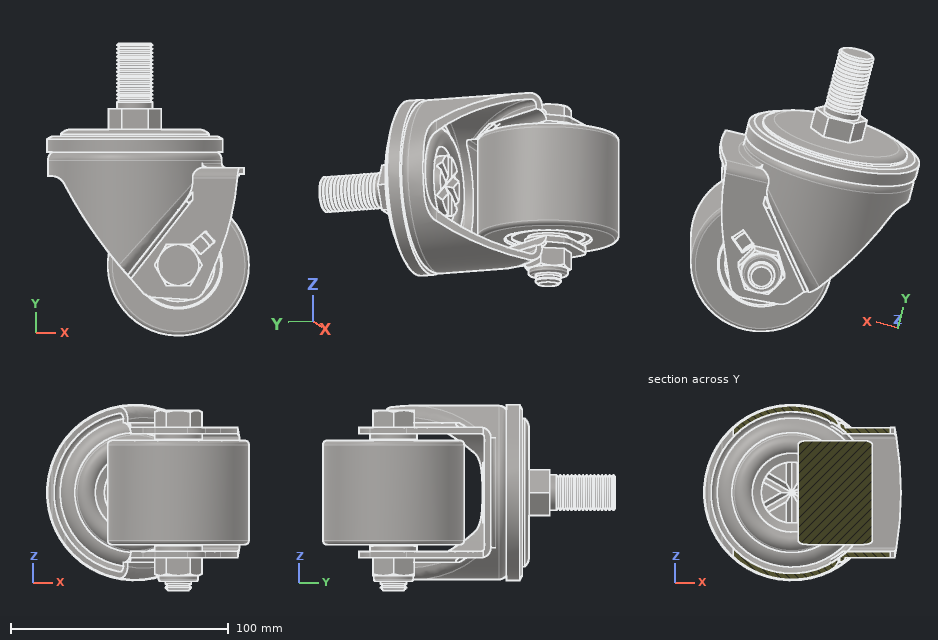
import cadquery as cq
import math


total_length = 134.4
wheel_radius = 32.5
wheel_width = 48.0
axle_x = 20.0
stem_top = total_length - wheel_radius

rim_radius = 40.5
rim_bottom = 51.9
rim_top = 57.9
rim_bevel_width = 2.4
rim_bevel_height = 1.3
cap_radius = 34.1
cap_edge_top = 60.2
cap_top = 62.3
cap_flat_radius = 29.5
stem_hex_top = 71.9
stem_hex_flats = 21.1
stem_radius = 8.2
stem_thread_start = 74.7
stem_pitch = 1.7
stem_tip_chamfer = 0.8
pin_radius = 14.0
pin_end = 41.0
pin_groove_depth = 2.4
pin_groove_count = 3

sheet = 3.0
tube_radius = 40.0
shoulder_width = 1.9
shoulder_height = 3.6
inner_shoulder = 2.8
leg_half_width = 30.0
tongue_top = 44.7
tongue_tip_x = 50.2
leg_back = 47.3
notch_y = 40.8

notch_corner = (-38.2, notch_y)
notch_round_middle = (-34.7, 39.8)
front_edge_top = (-32.2, 37.0)
front_edge_middle = (-18.8, 14.9)
front_edge_bottom = (-2.1, -5.9)
toe_front = (3.8, -12.8)
toe_round_middle = (6.2, -14.4)
toe_bottom = (9.1, -14.9)
heel_bottom = (24.2, -15.9)
heel_round_middle = (29.3, -14.8)
heel_back = (32.4, -11.0)
back_edge_bottom = (39.2, 5.8)
back_edge_middle = (44.7, 23.8)

tongue_bend_radius = 4.7
tongue_root_fillet = 2.0
tongue_edge = 3.6
crease_angle = 52.0
crease_x = 0.4
crease_end_x = 25.9
crease_fillet = 2.1
crease_round = 5.4

bead_inner_radius = 18.1
bead_inner_y = 43.9
bead_lead_in = 1.3
bead_crest_radius = 22.6
bead_crest_y = 41.6
bead_outer_radius = 26.6
bead_step_width = 1.0
bead_step_height = 1.1
bead_flank_radius = 31.6
bead_flank_y = 46.1
bead_root_radius = 34.3

slot_start = 10.9
slot_end = 19.6
slot_width = 6.5
slot_angle = 42.0

tread_rounding = 2.0
recess_radius = 20.2
recess_depth = 0.7
recess_draft = 0.7
web_radius = 16.8
web_depth = 1.1
hub_radius = 10.9
hub_neck_radius = 9.4
hub_flange = 2.5

axle_radius = 6.0
axle_end = -45.0
axle_pitch = 1.7
axle_tip_chamfer = 1.3
axle_hex_flats = 19.0
head_height = 7.8
nut_height = 8.2
hex_chamfer = 0.8
collar_radius = 9.1
collar_height = 2.7
collar_rounding = 1.1

hex_corner = 2 / math.sqrt(3)
thread_depth_ratio = 0.6


def turned_about_y(profile):
    """Solid of revolution about Y from a closed (radius, Y) profile."""
    return profile.close().revolve(360, (0, 0, 0), (0, 1, 0))


def threaded_rod(radius, length, thread_length, pitch, tip_chamfer):
    """Rod along +Z from the origin, with V-shaped thread ridges up to its chamfered tip."""
    depth = thread_depth_ratio * pitch
    ridges = math.floor((thread_length - tip_chamfer) / pitch)
    start = length - tip_chamfer - ridges * pitch
    profile = cq.Workplane("XZ").lineTo(radius, 0).lineTo(radius, start)
    for i in range(ridges):
        profile = profile.lineTo(radius - depth, start + (i + 0.5) * pitch)
        profile = profile.lineTo(radius, start + (i + 1) * pitch)
    profile = profile.lineTo(radius - tip_chamfer, length).lineTo(0, length)
    return profile.close().revolve(360, (0, 0, 0), (0, 1, 0))


def chamfered_hexagon(flats, height):
    """Hexagonal prism along +Z, corners on X, with its top corners turned off."""
    prism = cq.Workplane("XY").polygon(6, flats * hex_corner).extrude(height)
    turning = cq.Workplane("XY").circle(flats * hex_corner / 2).extrude(height)
    turning = turning.faces(">Z").chamfer(hex_chamfer, (hex_corner - 1) * flats / 2)
    return prism.intersect(turning)


def make_head():
    cap_round_width = cap_radius - cap_flat_radius
    cap_round_drop = cap_top - cap_edge_top
    cap_round = (cap_round_width**2 + cap_round_drop**2) / (2 * cap_round_drop)
    plate = turned_about_y(
        cq.Workplane("XY")
        .moveTo(0, pin_end)
        .lineTo(pin_radius, pin_end)
        .lineTo(pin_radius, rim_bottom)
        .lineTo(rim_radius, rim_bottom)
        .lineTo(rim_radius, rim_top)
        .lineTo(rim_radius - rim_bevel_width, rim_top + rim_bevel_height)
        .lineTo(cap_radius, rim_top + rim_bevel_height)
        .lineTo(cap_radius, cap_edge_top)
        .radiusArc((cap_flat_radius, cap_top), -cap_round)
        .lineTo(0, cap_top)
    )
    hexagon = (
        cq.Workplane("XZ", origin=(0, cap_top, 0))
        .polygon(6, stem_hex_flats * hex_corner)
        .extrude(cap_top - stem_hex_top)
    )
    stem = threaded_rod(
        stem_radius, stem_top - cap_top, stem_top - stem_thread_start, stem_pitch, stem_tip_chamfer
    )
    stem = stem.rotate((0, 0, 0), (1, 0, 0), -90).translate((0, cap_top, 0))
    head = plate.union(hexagon).union(stem)

    groove = (
        cq.Workplane("XY")
        .moveTo(-pin_groove_depth, pin_end)
        .lineTo(0, pin_end + pin_groove_depth)
        .lineTo(pin_groove_depth, pin_end)
        .close()
        .extrude(pin_radius, both=True)
    )
    for i in range(pin_groove_count):
        head = head.cut(groove.rotate((0, 0, 0), (0, 1, 0), i * 180 / pin_groove_count))
    return head


def along_crease(solid):
    """Place a solid whose X runs along the crease and whose +Y points forward of it."""
    return solid.rotate((0, 0, 0), (0, 0, 1), crease_angle).translate((crease_x, 0, 0))


def ahead_of_crease(offset):
    """Region further than offset in front of the crease."""
    reach = 2 * total_length
    block = cq.Workplane("XY").box(reach, reach, reach)
    return along_crease(block.translate((0, reach / 2 + offset, 0)))


def crease_fill(offset, half_width, radius):
    """Concave rounding between the crease wall and both legs."""
    fill = (
        cq.Workplane("YZ")
        .moveTo(offset, half_width)
        .lineTo(offset, half_width + radius)
        .radiusArc((offset - radius, half_width), -radius)
        .close()
        .extrude(total_length)
        .translate((-total_length / 2, 0, 0))
    )
    return along_crease(fill.union(fill.mirror("XY")))


def fork_envelope(inset, shoulder_run, shoulder_drop):
    """Outer volume of the fork, or its inner volume when inset by the sheet thickness."""
    radius = tube_radius - inset
    half_width = leg_half_width - inset
    top = rim_bottom - inset
    ceiling = tongue_top - inset
    floor = -wheel_radius
    height = ceiling - floor
    tangent_radius = (shoulder_run**2 + shoulder_drop**2) / (2 * shoulder_run)
    crown = turned_about_y(
        cq.Workplane("XY")
        .moveTo(0, ceiling)
        .lineTo(radius, ceiling)
        .lineTo(radius, top - shoulder_drop)
        .radiusArc((radius - shoulder_run, top), -tangent_radius)
        .lineTo(0, top)
    )
    tube = cq.Workplane("XZ", origin=(0, ceiling, 0)).circle(radius).extrude(height)
    wrap = tube.intersect(ahead_of_crease(inset)).edges("%ELLIPSE").fillet(crease_round - inset)
    channel = (
        cq.Workplane("XY")
        .box(2 * total_length, height, 2 * half_width)
        .translate((0, floor + height / 2, 0))
        .edges("|X and >Y")
        .fillet(tongue_bend_radius - inset)
    )
    rear = cq.Workplane("XY").box(total_length, total_length, total_length)
    rear = rear.translate((crease_end_x + total_length / 2, 0, 0))
    behind = channel.cut(ahead_of_crease(crease_round)).union(channel.intersect(rear))
    fill = crease_fill(inset, half_width, crease_fillet + inset).intersect(tube)
    return crown.union(wrap).union(behind).union(fill)


def leg_outline():
    """Side outline common to both legs and the tube, cut straight through along Z."""
    return (
        cq.Workplane("XY")
        .moveTo(-tube_radius, rim_bottom)
        .lineTo(-tube_radius, notch_y)
        .lineTo(*notch_corner)
        .threePointArc(notch_round_middle, front_edge_top)
        .threePointArc(front_edge_middle, front_edge_bottom)
        .lineTo(*toe_front)
        .threePointArc(toe_round_middle, toe_bottom)
        .lineTo(*heel_bottom)
        .threePointArc(heel_round_middle, heel_back)
        .lineTo(*back_edge_bottom)
        .threePointArc(back_edge_middle, (leg_back, tongue_top - tongue_edge))
        .lineTo(tongue_tip_x, tongue_top - tongue_edge)
        .lineTo(tongue_tip_x, rim_bottom)
        .close()
        .extrude(2 * tube_radius, both=True)
    )


def tongue_plan():
    """Plan outline of the fork, with the rounded rear end of the tongue."""
    return (
        cq.Workplane("XZ", origin=(0, rim_bottom, 0))
        .moveTo(-tube_radius, -tube_radius)
        .lineTo(leg_back, -tube_radius)
        .lineTo(leg_back, -leg_half_width)
        .threePointArc((tongue_tip_x, 0), (leg_back, leg_half_width))
        .lineTo(leg_back, tube_radius)
        .lineTo(-tube_radius, tube_radius)
        .close()
        .extrude(rim_bottom + wheel_radius)
    )


def race_bead():
    """Ring bead pressed down from the crown, holding the ball race."""
    crown_middle = rim_bottom - sheet / 2
    return turned_about_y(
        cq.Workplane("XY")
        .moveTo(pin_radius, crown_middle)
        .lineTo(pin_radius, bead_inner_y + bead_lead_in)
        .lineTo(bead_inner_radius, bead_inner_y)
        .threePointArc((bead_crest_radius, bead_crest_y), (bead_outer_radius, bead_inner_y))
        .lineTo(bead_outer_radius + bead_step_width, bead_inner_y + bead_step_height)
        .threePointArc((bead_flank_radius, bead_flank_y), (bead_root_radius, rim_bottom - sheet))
        .lineTo(bead_root_radius, crown_middle)
    )


def tongue_root():
    """Concave rounding where the tongue leaves the crown."""
    ring = turned_about_y(
        cq.Workplane("XY")
        .moveTo(tube_radius, tongue_top)
        .lineTo(tube_radius + tongue_root_fillet, tongue_top)
        .radiusArc((tube_radius, tongue_top + tongue_root_fillet), tongue_root_fillet)
    )
    width = 2 * (leg_half_width - tongue_bend_radius)
    rear = cq.Workplane("XY").box(total_length, total_length, width)
    return ring.intersect(rear.translate((total_length / 2, 0, 0)))


def make_fork():
    outside = fork_envelope(0, shoulder_width, shoulder_height)
    inside = fork_envelope(sheet, inner_shoulder, inner_shoulder)
    fork = outside.cut(inside)
    fork = fork.intersect(leg_outline()).intersect(tongue_plan())
    fork = fork.union(race_bead()).union(tongue_root())
    pin_hole = cq.Workplane("XZ").circle(pin_radius).extrude(-total_length)
    axle_hole = (
        cq.Workplane("XY").center(axle_x, 0).circle(axle_radius).extrude(total_length, both=True)
    )
    slot = (
        cq.Workplane("XY")
        .center((slot_start + slot_end) / 2, 0)
        .rect(slot_end - slot_start, slot_width)
        .extrude(total_length, both=True)
        .rotate((0, 0, 0), (0, 0, 1), slot_angle)
        .translate((axle_x, 0, 0))
    )
    return fork.cut(pin_hole).cut(axle_hole).cut(slot)


def make_wheel():
    half = wheel_width / 2
    hub_face = leg_half_width - sheet
    wheel = cq.Workplane("XY", origin=(0, 0, -half)).circle(wheel_radius).extrude(wheel_width)
    wheel = wheel.faces("|Z").edges().fillet(tread_rounding)
    recess = (
        cq.Workplane("XZ")
        .moveTo(0, half)
        .lineTo(recess_radius, half)
        .lineTo(recess_radius - recess_draft, half - recess_depth)
        .lineTo(web_radius, half - recess_depth)
        .lineTo(web_radius, half - web_depth)
        .lineTo(0, half - web_depth)
        .close()
        .revolve(360, (0, 0, 0), (0, 1, 0))
    )
    wheel = wheel.cut(recess).cut(recess.mirror("XY"))
    hub = cq.Workplane("XY").circle(hub_radius).extrude(hub_face, both=True)
    neck_gap = cq.Workplane("XY").circle(hub_radius).circle(hub_neck_radius)
    hub = hub.cut(neck_gap.extrude(hub_face - hub_flange, both=True))
    bore = cq.Workplane("XY").circle(axle_radius).extrude(hub_face, both=True)
    return wheel.union(hub).cut(bore).translate((axle_x, 0, 0))


def make_axle():
    head = chamfered_hexagon(axle_hex_flats, head_height)
    head = head.translate((0, 0, leg_half_width))
    nut = chamfered_hexagon(axle_hex_flats, nut_height)
    collar = (
        cq.Workplane("XY")
        .circle(collar_radius)
        .extrude(nut_height + collar_height)
        .faces(">Z")
        .edges()
        .fillet(collar_rounding)
    )
    nut = nut.union(collar).rotate((0, 0, 0), (1, 0, 0), 180).translate((0, 0, -leg_half_width))
    exposed = -axle_end - leg_half_width - nut_height - collar_height
    rod = threaded_rod(axle_radius, leg_half_width - axle_end, exposed, axle_pitch, axle_tip_chamfer)
    rod = rod.rotate((0, 0, 0), (1, 0, 0), 180).translate((0, 0, leg_half_width))
    return head.union(rod).union(nut).translate((axle_x, 0, 0))


head = make_head()
fork = make_fork()
wheel = make_wheel()
axle = make_axle()

bodies = [head, fork, wheel, axle]
result = cq.Compound.makeCompound([body.solids().val() for body in bodies])